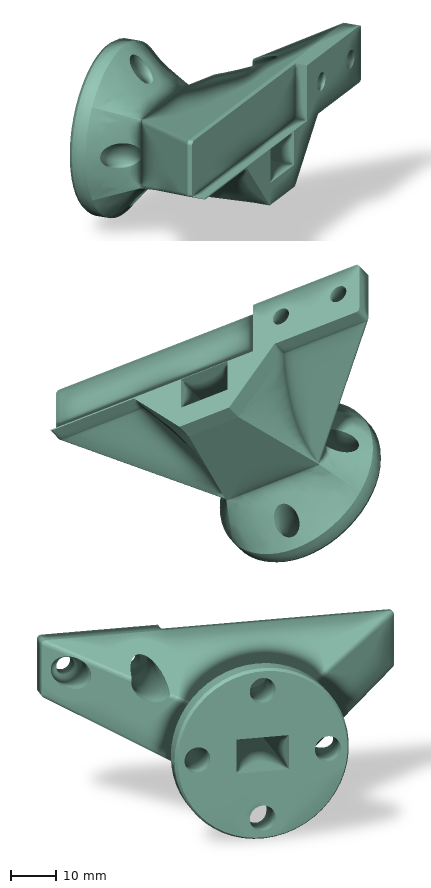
import cadquery as cq
import math

total_length = 43.0
flange_diameter = 40.0
flange_thickness = 4.1
flange_chamfer_length = 0.8
flange_chamfer_height = 0.5

neck_x = 14.0
neck_width = 24.3
neck_height = 16.2
neck_corner_radius = 0.7

plate_width = 81.0
plate_bottom = 3.8
plate_top = 17.3
plate_thickness = 4.0
plate_corner_radius = 1.0

saddle_bottom = -9.3
saddle_bottom_width = 13.0
saddle_top_width = 37.3

recess_depth = 2.8
recess_floor = 4.1
recess_end_y = 12.7

window_width = 12.1
window_height = 8.0
flange_hole_diameter = 5.9
flange_hole_circle = 30.0
screw_hole_diameter = 4.2
screw_head_diameter = 7.5
screw_hole_z = 10.9
screw_hole_ys = (20.0, 35.0)

flange_radius = flange_diameter / 2
plate_x = total_length - plate_thickness
plate_height = plate_top - plate_bottom
plate_center_z = (plate_top + plate_bottom) / 2


def section(x):
    """Sketch plane across the axis: local x is +Y, local y is +Z."""
    return cq.Workplane("YZ", origin=(x, 0, 0))


def rounded_wire(x, center_z, width, height, radius):
    """Rectangular section with rounded corners."""
    outline = cq.Sketch().rect(width, height).vertices().fillet(radius)
    face = section(x).center(0, center_z).placeSketch(outline).extrude(0.8).faces("<X").val()
    return face.outerWire()


def make_flange():
    profile = [
        (0, 0),
        (0, flange_radius - flange_chamfer_height),
        (flange_chamfer_length, flange_radius),
        (flange_thickness, flange_radius),
        (flange_thickness, 0),
    ]
    return cq.Workplane("XY").polyline(profile).close().revolve(360, (0, 0, 0), (1, 0, 0))


def make_transition():
    """Ruled skin from the flange circle to the rectangular neck, split at the neck diagonals."""
    y, z = neck_width / 2, neck_height / 2
    diagonal_scale = flange_radius / math.hypot(y, z)
    circle_y, circle_z = y * diagonal_scale, z * diagonal_scale
    circle = (
        section(flange_thickness)
        .moveTo(-circle_y, -circle_z)
        .threePointArc((0, -flange_radius), (circle_y, -circle_z))
        .threePointArc((flange_radius, 0), (circle_y, circle_z))
        .threePointArc((0, flange_radius), (-circle_y, circle_z))
        .threePointArc((-flange_radius, 0), (-circle_y, -circle_z))
        .wire()
        .val()
    )
    corners = [(-y, -z), (y, -z), (y, z), (-y, z)]
    rectangle = section(neck_x).polyline(corners).close().val()
    return cq.Workplane(obj=cq.Solid.makeLoft([circle, rectangle], True))


def make_wings():
    """Tapered body widening and rising from the neck to the end plate, plus the plate."""
    neck = rounded_wire(neck_x, 0, neck_width, neck_height, neck_corner_radius)
    plate_outline = rounded_wire(plate_x, plate_center_z, plate_width, plate_height, plate_corner_radius)
    body = cq.Workplane(obj=cq.Solid.makeLoft([neck, plate_outline], True))
    plate = cq.Workplane(obj=cq.Solid.extrudeLinear(plate_outline, [], cq.Vector(plate_thickness, 0, 0)))
    return body.union(plate)


def make_saddle():
    """Wedge below the wings that surrounds the lower part of the waveguide."""
    low, high = saddle_bottom_width / 2, saddle_top_width / 2
    corners = [(-low, saddle_bottom), (low, saddle_bottom), (high, recess_floor), (-high, recess_floor)]
    y, z = neck_width / 2, neck_height / 2
    neck_corners = [(-y, -z), (y, -z), (y, 0), (-y, 0)]
    neck = section(neck_x).polyline(neck_corners).close().val()
    end = section(plate_x).polyline(corners).close().val()
    taper = cq.Workplane(obj=cq.Solid.makeLoft([neck, end], True))
    return taper.union(section(plate_x).polyline(corners).close().extrude(plate_thickness))


def make_recess():
    """Step in the rear of the plate, open at the top and at the -Y end."""
    return cq.Workplane("XY").box(
        recess_depth, recess_end_y + plate_width / 2, plate_top - recess_floor, centered=False
    ).translate((total_length - recess_depth, -plate_width / 2, recess_floor))


window = section(0).rect(window_width, window_height).extrude(total_length)
flange_holes = (
    section(0)
    .polarArray(flange_hole_circle / 2, 0, 360, 4)
    .circle(flange_hole_diameter / 2)
    .extrude(neck_x)
)
screw_positions = [(y, screw_hole_z) for y in screw_hole_ys]
screw_holes = section(neck_x).pushPoints(screw_positions).circle(screw_hole_diameter / 2)
screw_holes = screw_holes.extrude(total_length - neck_x)
screw_heads = section(neck_x).pushPoints(screw_positions).circle(screw_head_diameter / 2)
screw_heads = screw_heads.extrude(plate_x - neck_x)

result = make_flange().union(make_transition())
result = result.cut(flange_holes)
result = result.union(make_wings()).union(make_saddle())
result = result.cut(make_recess()).cut(window).cut(screw_holes).cut(screw_heads)